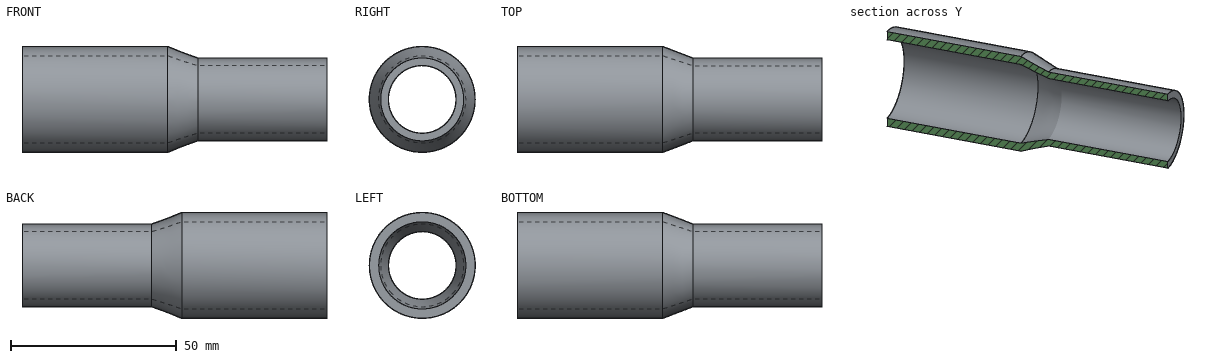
import cadquery as cq

total_length = 92.0
large_length = 43.9
taper_length = 9.1
large_outer_diameter = 32.0
large_bore_diameter = 26.3
small_outer_diameter = 25.0
small_bore_diameter = 20.3

taper_start = large_length
taper_end = taper_start + taper_length


def stepped_body(large_diameter, small_diameter):
    """Solid of revolution: large cylinder, cone, then small cylinder."""
    large_radius = large_diameter / 2
    small_radius = small_diameter / 2
    return (
        cq.Workplane("XY")
        .moveTo(0, 0)
        .lineTo(0, large_radius)
        .lineTo(taper_start, large_radius)
        .lineTo(taper_end, small_radius)
        .lineTo(total_length, small_radius)
        .lineTo(total_length, 0)
        .close()
        .revolve(360, (0, 0, 0), (1, 0, 0))
    )


outside = stepped_body(large_outer_diameter, small_outer_diameter)
bore = stepped_body(large_bore_diameter, small_bore_diameter)
result = outside.cut(bore)